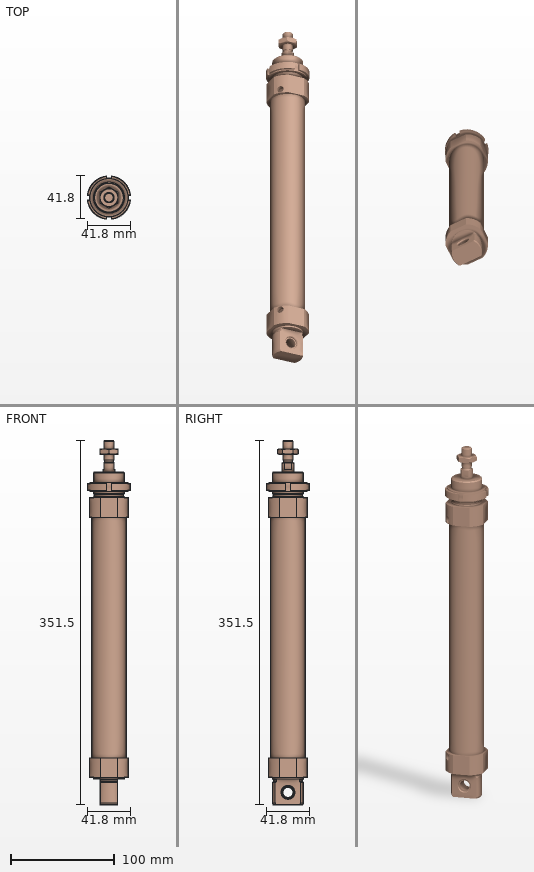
import cadquery as cq
import math

TOTAL_LENGTH = 351.5
HEAD_LENGTH = 19.0
REAR_HEAD_BOTTOM = 26.5
FRONT_HEAD_BOTTOM = 277.5
REAR_HEAD_TOP = REAR_HEAD_BOTTOM + HEAD_LENGTH
FRONT_HEAD_TOP = FRONT_HEAD_BOTTOM + HEAD_LENGTH
NECK_TOP = 321.3

TUBE_DIAMETER = 33.7
HEAD_DIAMETER = 41.0
HEAD_ACROSS_FLATS = 37.5

NECK_DIAMETER = 30.0
NECK_CHAMFER = 1.0
NECK_GROOVE_DIAMETER = 28.5
NECK_GROOVE_LENGTH = 3.0
NECK_COLLAR_LENGTH = 0.7

EYE_THICKNESS = 17.0
EYE_COLLAR_LENGTH = 1.5
EYE_GROOVE_DIAMETER = 27.8
EYE_GROOVE_LENGTH = 3.5
EYE_CHAMFER_DIAMETER = 28.5
EYE_CHAMFER_HEIGHT = 1.8
EYE_HOLE_DIAMETER = 10.0
EYE_HOLE_RECESS_DIAMETER = 12.0
EYE_HOLE_RECESS_DEPTH = 1.8
EYE_HOLE_CHAMFER = 0.7
EYE_HOLE_HEIGHT = 12.0

PORT_DIAMETER = 6.7
PORT_DEPTH = 5.3
PORT_INSET = 4.0
PORT_ANGLE = 133.0

ROD_DIAMETER = 12.0
ROD_BOTTOM = FRONT_HEAD_BOTTOM
ROD_SHOULDER = 329.7
ROD_FLAT_WIDTH = 10.0
ROD_FLAT_BOTTOM = 323.5
ROD_THREAD_DIAMETER = 10.0
ROD_THREAD_CHAMFER = 0.7
ROD_GROOVE_DIAMETER = 8.8
ROD_GROOVE_LENGTH = 2.8
ROD_GROOVE_TAPER = 1.0

ROD_NUT_BOTTOM = 338.0
ROD_NUT_HEIGHT = 5.3
ROD_NUT_ACROSS_FLATS = 17.5
ROD_NUT_FACE_DIAMETER = 17.2
ROD_NUT_CHAMFER_ANGLE = 30.0

RING_NUT_BOTTOM = 302.3
RING_NUT_HEIGHT = 8.8
RING_NUT_DIAMETER = 42.0
RING_NUT_BOSS_DIAMETER = 37.0
RING_NUT_BOSS_HEIGHT = 1.0
RING_NUT_SLOTS = 4
RING_NUT_SLOT_WIDTH = 4.5


def cylinder(diameter, bottom, top):
    return cq.Workplane("XY").workplane(offset=bottom).circle(diameter / 2).extrude(top - bottom)


def revolve_profile(points):
    """Revolve a closed (radius, z) outline about the Z axis."""
    return cq.Workplane("XZ").polyline(points).close().revolve(360, (0, 0, 0), (0, 1, 0))


def make_head(bottom):
    """Round head with four flats, facing +-X and +-Y."""
    flats = (
        cq.Workplane("XY")
        .workplane(offset=bottom)
        .rect(HEAD_ACROSS_FLATS, HEAD_ACROSS_FLATS)
        .extrude(HEAD_LENGTH)
    )
    return cylinder(HEAD_DIAMETER, bottom, bottom + HEAD_LENGTH).intersect(flats)


def make_port(height):
    """Radial port drilled into the round corner of a head."""
    direction = cq.Vector(math.cos(math.radians(PORT_ANGLE)), math.sin(math.radians(PORT_ANGLE)), 0)
    start = direction * (HEAD_DIAMETER / 2 - PORT_DEPTH) + cq.Vector(0, 0, height)
    return cq.Solid.makeCylinder(PORT_DIAMETER / 2, 2 * PORT_DEPTH, start, direction)


def groove_outline(diameter, bottom, top):
    """(radius, z) points of a neck groove with 45 degree flanks, from its lower to its upper edge."""
    flank = (NECK_DIAMETER - diameter) / 2
    return [
        (NECK_DIAMETER / 2, bottom),
        (diameter / 2, bottom + flank),
        (diameter / 2, top - flank),
        (NECK_DIAMETER / 2, top),
    ]


def make_front_neck():
    """Round neck above the front head, grooved near the head and chamfered at the top."""
    radius = NECK_DIAMETER / 2
    groove_bottom = FRONT_HEAD_TOP + NECK_COLLAR_LENGTH
    return revolve_profile(
        [
            (0, FRONT_HEAD_TOP),
            (radius, FRONT_HEAD_TOP),
            *groove_outline(NECK_GROOVE_DIAMETER, groove_bottom, groove_bottom + NECK_GROOVE_LENGTH),
            (radius, NECK_TOP - NECK_CHAMFER),
            (radius - NECK_CHAMFER, NECK_TOP),
            (0, NECK_TOP),
        ]
    )


def make_eye_hole():
    """Pin hole along X, with a chamfered recess at each end."""
    hole_radius = EYE_HOLE_DIAMETER / 2
    recess_radius = EYE_HOLE_RECESS_DIAMETER / 2
    face = EYE_THICKNESS / 2
    recess_floor = face - EYE_HOLE_RECESS_DEPTH
    half_outline = [
        (recess_floor, hole_radius),
        (recess_floor, recess_radius),
        (face - EYE_HOLE_CHAMFER, recess_radius),
        (face, recess_radius + EYE_HOLE_CHAMFER),
        (face, 0),
    ]
    mirrored_outline = [(-x, radius) for x, radius in reversed(half_outline)]
    return (
        cq.Workplane("XY")
        .polyline(mirrored_outline + half_outline)
        .close()
        .revolve(360, (0, 0, 0), (1, 0, 0))
        .translate((0, 0, EYE_HOLE_HEIGHT))
    )


def make_rear_eye():
    """Round stem below the rear head, flattened on both X sides and cross-drilled along X."""
    radius = NECK_DIAMETER / 2
    collar_bottom = REAR_HEAD_BOTTOM - EYE_COLLAR_LENGTH
    stem = revolve_profile(
        [
            (0, 0),
            (EYE_CHAMFER_DIAMETER / 2, 0),
            (radius, EYE_CHAMFER_HEIGHT),
            *groove_outline(EYE_GROOVE_DIAMETER, collar_bottom - EYE_GROOVE_LENGTH, collar_bottom),
            (0, collar_bottom),
        ]
    )
    slab = cq.Workplane("XY").rect(EYE_THICKNESS, 2 * NECK_DIAMETER).extrude(collar_bottom)
    collar = cylinder(NECK_DIAMETER, collar_bottom, REAR_HEAD_BOTTOM)
    return stem.intersect(slab).cut(make_eye_hole()).union(collar)


def make_housing():
    """Tube with both heads, the front neck and the rear eye, bored for the rod."""
    housing = (
        cylinder(TUBE_DIAMETER, REAR_HEAD_TOP, FRONT_HEAD_BOTTOM)
        .union(make_head(REAR_HEAD_BOTTOM))
        .union(make_head(FRONT_HEAD_BOTTOM))
        .union(make_front_neck())
        .union(make_rear_eye())
    )
    for height in (REAR_HEAD_TOP - PORT_INSET, FRONT_HEAD_BOTTOM + PORT_INSET):
        housing = housing.cut(cq.Workplane(make_port(height)))
    return housing.cut(cylinder(ROD_DIAMETER, ROD_BOTTOM, NECK_TOP))


def make_rod():
    """Rod with two wrench flats below the shoulder and a grooved, threaded end above it."""
    radius = ROD_DIAMETER / 2
    thread_radius = ROD_THREAD_DIAMETER / 2
    groove_radius = ROD_GROOVE_DIAMETER / 2
    groove_top = ROD_SHOULDER + ROD_GROOVE_LENGTH
    rod = revolve_profile(
        [
            (0, ROD_BOTTOM),
            (radius, ROD_BOTTOM),
            (radius, ROD_SHOULDER),
            (thread_radius, ROD_SHOULDER),
            (groove_radius, ROD_SHOULDER + ROD_GROOVE_TAPER),
            (groove_radius, groove_top),
            (thread_radius, groove_top),
            (thread_radius, TOTAL_LENGTH - ROD_THREAD_CHAMFER),
            (thread_radius - ROD_THREAD_CHAMFER, TOTAL_LENGTH),
            (0, TOTAL_LENGTH),
        ]
    )
    flat_length = ROD_SHOULDER - ROD_FLAT_BOTTOM
    for side in (-1, 1):
        flat = (
            cq.Workplane("XY")
            .workplane(offset=ROD_FLAT_BOTTOM)
            .center(side * (ROD_FLAT_WIDTH + ROD_DIAMETER) / 2, 0)
            .rect(ROD_DIAMETER, ROD_DIAMETER)
            .extrude(flat_length)
        )
        rod = rod.cut(flat)
    return rod


def make_rod_nut():
    """Hexagon nut with its corners chamfered on both faces."""
    corner_diameter = ROD_NUT_ACROSS_FLATS / math.cos(math.pi / 6)
    hexagon = (
        cq.Workplane("XY")
        .workplane(offset=ROD_NUT_BOTTOM)
        .transformed(rotate=(0, 0, 90))
        .polygon(6, corner_diameter)
        .circle(ROD_THREAD_DIAMETER / 2)
        .extrude(ROD_NUT_HEIGHT)
    )
    corner_radius = corner_diameter / 2
    face_radius = ROD_NUT_FACE_DIAMETER / 2
    chamfer_height = (corner_radius - face_radius) * math.tan(math.radians(ROD_NUT_CHAMFER_ANGLE))
    top = ROD_NUT_BOTTOM + ROD_NUT_HEIGHT
    envelope = revolve_profile(
        [
            (0, ROD_NUT_BOTTOM),
            (face_radius, ROD_NUT_BOTTOM),
            (corner_radius, ROD_NUT_BOTTOM + chamfer_height),
            (corner_radius, top - chamfer_height),
            (face_radius, top),
            (0, top),
        ]
    )
    return hexagon.intersect(envelope)


def make_ring_nut():
    """Ring nut with a low boss on each face and rim slots that run down to the boss diameter."""
    top = RING_NUT_BOTTOM + RING_NUT_HEIGHT
    rim_bottom = RING_NUT_BOTTOM + RING_NUT_BOSS_HEIGHT
    rim_top = top - RING_NUT_BOSS_HEIGHT
    rim = cylinder(RING_NUT_DIAMETER, rim_bottom, rim_top)
    slot = (
        cq.Workplane("XY")
        .workplane(offset=rim_bottom)
        .center(RING_NUT_DIAMETER / 2, 0)
        .rect(RING_NUT_DIAMETER / 2, RING_NUT_SLOT_WIDTH)
        .extrude(rim_top - rim_bottom)
    )
    for index in range(RING_NUT_SLOTS):
        rim = rim.cut(slot.rotate((0, 0, 0), (0, 0, 1), index * 360 / RING_NUT_SLOTS))
    boss = cylinder(RING_NUT_BOSS_DIAMETER, RING_NUT_BOTTOM, top)
    bore = cylinder(NECK_DIAMETER, RING_NUT_BOTTOM, top)
    return rim.union(boss).cut(bore)


housing = make_housing()
rod = make_rod()
rod_nut = make_rod_nut()
ring_nut = make_ring_nut()

result = cq.Compound.makeCompound([housing.val(), rod.val(), rod_nut.val(), ring_nut.val()])